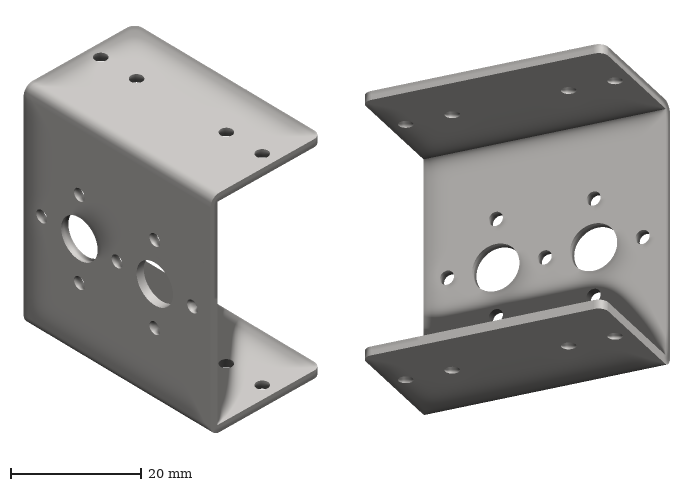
import cadquery as cq

width = 41.28
depth = 23.85
height = 45.25
thickness = 1.55

bend_outer_radius = 1.9
corner_radius = 1.65

small_hole_diameter = 2.4
large_hole_diameter = 8.05
web_hole_pitch = 8.35
flange_hole_inner_x = 9.9
flange_hole_outer_x = 17.85
flange_hole_setback = 13.8

web_face_y = -depth / 2
flange_end_y = depth / 2


def make_channel():
    """Web on the -Y side with a flange at the top and the bottom, open toward +Y."""
    outer = (
        cq.Workplane("XY")
        .box(width, depth, height)
        .edges("|X and <Y")
        .fillet(bend_outer_radius)
    )
    cavity = (
        cq.Workplane("XY")
        .box(width, depth, height - 2 * thickness)
        .translate((0, thickness, 0))
    )
    return outer.cut(cavity)


def web_holes(points, diameter):
    """Cylinders along Y through the web at the given (x, z) points."""
    return (
        cq.Workplane("XZ", origin=(0, web_face_y + thickness, 0))
        .pushPoints(points)
        .circle(diameter / 2)
        .extrude(thickness)
    )


def flange_holes():
    """Cylinders along Z through both flanges."""
    hole_y = web_face_y + flange_hole_setback
    points = [
        (side * x, hole_y)
        for side in (-1, 1)
        for x in (flange_hole_inner_x, flange_hole_outer_x)
    ]
    return (
        cq.Workplane("XY", origin=(0, 0, -height / 2))
        .pushPoints(points)
        .circle(small_hole_diameter / 2)
        .extrude(height)
    )


large_points = [(-web_hole_pitch, 0), (web_hole_pitch, 0)]
small_points = [(column * 2 * web_hole_pitch, 0) for column in (-1, 0, 1)]
small_points += [(x, side * web_hole_pitch) for x, _ in large_points for side in (-1, 1)]

bracket = make_channel()
free_corners = cq.selectors.BoxSelector(
    (-width, flange_end_y - thickness, -height),
    (width, flange_end_y + thickness, height),
)
bracket = bracket.edges("|Z").edges(free_corners).fillet(corner_radius)

result = (
    bracket.cut(web_holes(large_points, large_hole_diameter))
    .cut(web_holes(small_points, small_hole_diameter))
    .cut(flange_holes())
)